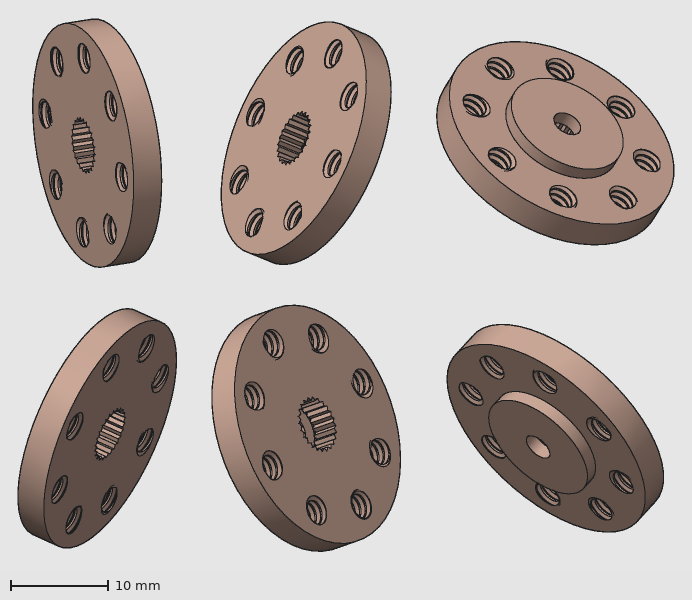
import cadquery as cq
import math

disc_diameter = 25.4
disc_thickness = 3.17
boss_diameter = 12.65
boss_height = 1.4
total_height = disc_thickness + boss_height

tooth_count = 24
spline_tip_radius = 2.9
spline_valley_radius = 2.56
socket_depth = 3.05
relief_width = 0.2
screw_hole_diameter = 3.02

hole_count = 8
bolt_circle_radius = 9.78
thread_minor_radius = 1.35
thread_depth = 0.4
thread_pitch = 0.79
thread_root_width = thread_pitch / 8
thread_flank_angle = 30
thread_overlap = 0.05
thread_start_angle = -128
run_out_turns = 1


def disc_and_boss():
    boss = cq.Workplane("XZ").circle(boss_diameter / 2).extrude(-total_height)
    return cq.Workplane("XZ").circle(disc_diameter / 2).extrude(-disc_thickness).union(boss)


def spline_socket():
    """Star-shaped pocket with a tooth tip pointing along +X and a round relief at its floor."""
    half_pitch_angle = math.pi / tooth_count
    points = []
    for i in range(2 * tooth_count):
        radius = spline_tip_radius if i % 2 == 0 else spline_valley_radius
        angle = i * half_pitch_angle
        points.append((radius * math.cos(angle), radius * math.sin(angle)))
    teeth = cq.Workplane("XZ").polyline(points).close().extrude(-socket_depth)
    relief_start = socket_depth - relief_width
    relief = cq.Workplane("XZ", origin=(0, relief_start, 0)).circle(spline_tip_radius).extrude(-relief_width)
    return teeth.union(relief)


def screw_hole():
    return cq.Workplane("XZ").circle(screw_hole_diameter / 2).extrude(-total_height)


def tapped_hole():
    """Bore plus helical groove along Z, with the front face of the disc at Z = 0."""
    turns = math.ceil(disc_thickness / thread_pitch) + 2 * run_out_turns
    length = turns * thread_pitch
    bottom = (run_out_turns - turns) * thread_pitch
    bore = cq.Workplane("XY", origin=(0, 0, bottom)).circle(thread_minor_radius).extrude(length)

    root_half = thread_root_width / 2
    groove_height = thread_depth + thread_overlap
    mouth_half = root_half + groove_height * math.tan(math.radians(thread_flank_angle))
    inner = thread_minor_radius - thread_overlap
    outer = thread_minor_radius + thread_depth
    helix = cq.Wire.makeHelix(thread_pitch, length, thread_minor_radius)
    groove = (
        cq.Workplane("XZ")
        .polyline([(inner, -mouth_half), (outer, -root_half), (outer, root_half), (inner, mouth_half)])
        .close()
        .sweep(cq.Workplane(helix), isFrenet=True)
        .translate((0, 0, bottom))
    )
    return bore.union(groove).rotate((0, 0, 0), (0, 0, 1), thread_start_angle)


body = disc_and_boss().cut(spline_socket()).cut(screw_hole())

cutter = tapped_hole().rotate((0, 0, 0), (1, 0, 0), 90).translate((bolt_circle_radius, 0, 0))
for i in range(hole_count):
    body = body.cut(cutter.rotate((0, 0, 0), (0, 1, 0), i * 360 / hole_count))

result = body